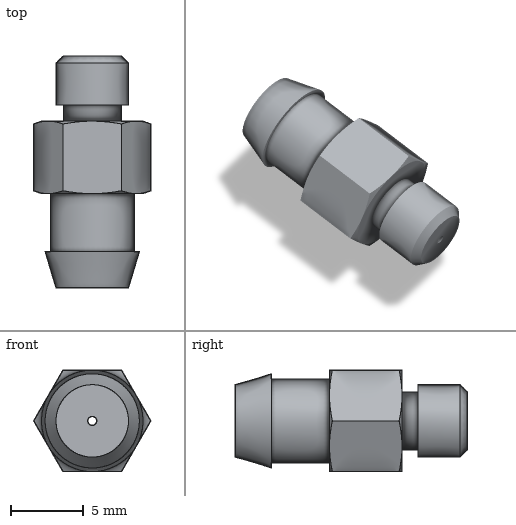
import cadquery as cq
import math


barb_length = 2.5
shank_length = 4.0
hex_length = 5.0
neck_length = 1.1
stud_length = 3.4

barb_tip_diameter = 5.0
barb_root_diameter = 6.5
shank_diameter = 5.8
neck_diameter = 4.0
stud_diameter = 5.0
orifice_diameter = 0.6

hex_across_flats = 7.0
hex_across_corners = hex_across_flats / math.cos(math.radians(30))
hex_chamfer_angle = 20.0
stud_chamfer = 0.5

hex_start = -hex_length
shank_start = hex_start - shank_length
tip = shank_start - barb_length
stud_start = neck_length
stud_end = stud_start + stud_length


def revolve_about_y(profile):
    """Revolve a closed (radius, Y) profile a full turn about the Y axis."""
    outline = cq.Workplane("XY").polyline(profile).close()
    return outline.revolve(360, (0, 0, 0), (0, 1, 0))


def cylinder_along_y(diameter, start, end):
    """Solid cylinder on the Y axis between two stations."""
    radius = diameter / 2
    return revolve_about_y([(0, start), (radius, start), (radius, end), (0, end)])


def make_barb():
    """Cone that widens from the tip to a square shoulder at the shank."""
    return revolve_about_y([
        (0, tip),
        (barb_tip_diameter / 2, tip),
        (barb_root_diameter / 2, shank_start),
        (0, shank_start),
    ])


def make_hexagon():
    """Hexagon with corners on the X axis, its corners turned off conically at both ends."""
    prism = (
        cq.Workplane("XZ")
        .polygon(6, hex_across_corners)
        .extrude(hex_length)
    )
    face_radius = hex_across_flats / 2
    corner_radius = hex_across_corners / 2
    corner_drop = (corner_radius - face_radius) * math.tan(math.radians(hex_chamfer_angle))
    turned_envelope = revolve_about_y([
        (0, hex_start),
        (face_radius, hex_start),
        (corner_radius, hex_start + corner_drop),
        (corner_radius, -corner_drop),
        (face_radius, 0),
        (0, 0),
    ])
    return prism.intersect(turned_envelope)


def make_stud():
    """Cylindrical stud with a chamfered free end."""
    stud = cylinder_along_y(stud_diameter, stud_start, stud_end)
    return stud.faces(">Y").edges().chamfer(stud_chamfer)


shank = cylinder_along_y(shank_diameter, shank_start, hex_start)
neck = cylinder_along_y(neck_diameter, 0, stud_start)
orifice = cylinder_along_y(orifice_diameter, tip, stud_end)

body = make_barb().union(shank).union(make_hexagon()).union(neck).union(make_stud())
result = body.cut(orifice)